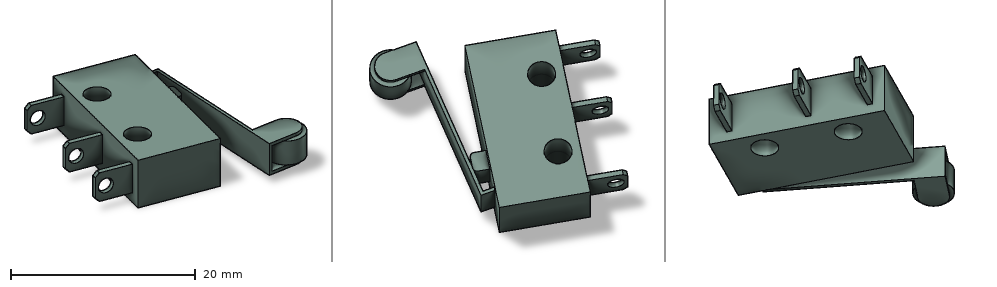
import cadquery as cq
import math

housing_length = 20.0
housing_depth = 10.02
housing_height = 6.0

mount_hole_diameter = 3.0
mount_hole_y = 2.5
mount_hole_xs = [5.5, 15.03]

terminal_xs = [2.3, 11.32, 18.34]
terminal_thickness = 0.6
terminal_width = 3.6
terminal_length = 4.5
terminal_chamfer = 0.5
terminal_hole_diameter = 1.8
terminal_hole_reach = 3.2

plunger_left = 5.5
plunger_length = 2.3
plunger_projection = 1.8
plunger_width = 3.0
plunger_fillet = 0.5

roller_diameter = 4.5
roller_height = 3.0
roller_x = 19.51
roller_projection = 10.52
roller_y = housing_depth + roller_projection - roller_diameter / 2

lever_angle = 11.0
sheet_thickness = 0.4
lever_width = 4.0
lever_reach = 18.15
lever_drop = 3.68
ear_radius = 1.73
leg_embedment = 0.25


def make_housing():
    """Rectangular block with two through holes."""
    block = cq.Workplane("XY").box(
        housing_length, housing_depth, housing_height, centered=(False, False, True)
    )
    holes = (
        cq.Workplane("XY")
        .pushPoints([(x, mount_hole_y) for x in mount_hole_xs])
        .circle(mount_hole_diameter / 2)
        .extrude(housing_height, both=True)
    )
    return block.cut(holes)


def make_terminal(x):
    """Flat tab with two chamfered outer corners and a wire hole."""
    tab = (
        cq.Workplane("XY")
        .box(terminal_thickness, terminal_length, terminal_width)
        .edges("|X and <Y")
        .chamfer(terminal_chamfer)
        .translate((x, -terminal_length / 2, 0))
    )
    hole = (
        cq.Workplane("YZ", origin=(x, 0, 0))
        .center(-terminal_hole_reach, 0)
        .circle(terminal_hole_diameter / 2)
        .extrude(terminal_thickness, both=True)
    )
    return tab.cut(hole)


def make_plunger():
    """Button on the +Y side of the housing, with rounded upper edges."""
    return (
        cq.Workplane("XY")
        .box(plunger_length, plunger_projection, plunger_width, centered=(False, False, True))
        .edges("|Z and >Y")
        .fillet(plunger_fillet)
        .translate((plunger_left, housing_depth, 0))
    )


def make_lever():
    """Bent strip with a leg into the housing and two ears beside the roller."""
    tilt = math.radians(lever_angle)
    leg_end_y = housing_depth - leg_embedment
    leg_foot = (leg_end_y - roller_y + lever_reach * math.sin(tilt)) / math.cos(tilt)
    strip_top = sheet_thickness - lever_drop
    strip = (
        cq.Workplane("XY")
        .polyline([
            (-lever_reach, leg_foot),
            (-lever_reach, strip_top),
            (ear_radius, strip_top),
            (ear_radius, -lever_drop),
            (sheet_thickness - lever_reach, -lever_drop),
            (sheet_thickness - lever_reach, leg_foot),
        ])
        .close()
        .extrude(lever_width / 2, both=True)
    )
    ear = (
        cq.Workplane("XY")
        .moveTo(-ear_radius, -lever_drop)
        .lineTo(ear_radius, -lever_drop)
        .lineTo(ear_radius, 0)
        .threePointArc((0, ear_radius), (-ear_radius, 0))
        .close()
        .extrude(sheet_thickness)
    )
    lever = strip
    for ear_bottom in (-lever_width / 2, lever_width / 2 - sheet_thickness):
        lever = lever.union(ear.translate((0, 0, ear_bottom)))
    return lever.rotate((0, 0, 0), (0, 0, 1), lever_angle).translate((roller_x, roller_y, 0))


def make_switch():
    """Housing with its terminals, plunger and lever as one solid."""
    switch_body = make_housing().union(make_plunger()).union(make_lever())
    for x in terminal_xs:
        switch_body = switch_body.union(make_terminal(x))
    return switch_body


def make_roller():
    """Plain cylinder, clear of both lever ears."""
    return (
        cq.Workplane("XY", origin=(roller_x, roller_y, -roller_height / 2))
        .circle(roller_diameter / 2)
        .extrude(roller_height)
    )


switch = make_switch()
roller = make_roller()
result = cq.Compound.makeCompound([switch.val(), roller.val()])